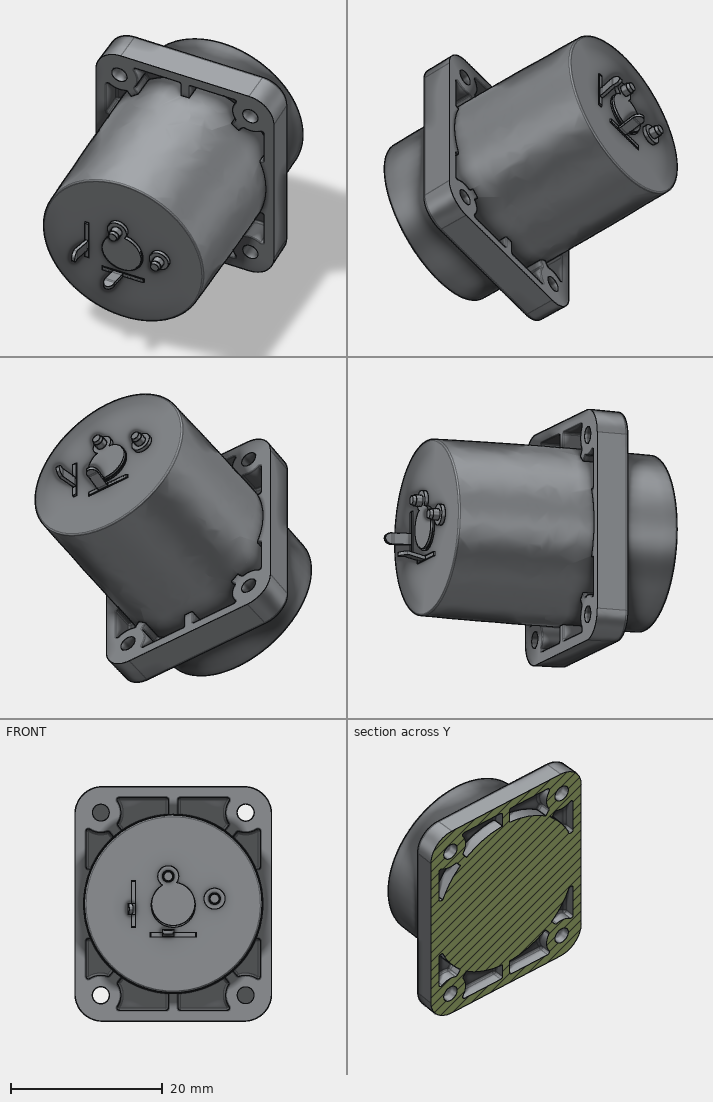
import cadquery as cq
import math


FLANGE_WIDTH = 25.9
FLANGE_HEIGHT = 30.9
FLANGE_THICKNESS = 4.5
FLANGE_CORNER = 3.65
FLANGE_DRAFT = 1.3
FLANGE_REAR_ROUND = 0.4

OVERALL_LENGTH = 34.65
REAR_LENGTH = 11.88
FRONT_LENGTH = 19.05
BODY_END_RADIUS = 11.67
BODY_MIDDLE_RADIUS = 11.8
BODY_EDGE_ROUND = 0.2
BODY_ROOT_FILLET = 0.35

HOLE_X = 9.53
HOLE_Z = 12.02
HOLE_DIAMETER = 2.2
BLIND_HOLE_DEPTH = 3.45

POCKET_DEPTH = 3.2
POCKET_HALF_WIDTH = 11.45
POCKET_HALF_HEIGHT = 14.0
POCKET_INNER_RADIUS = 11.57
POCKET_LOWEST_Z = 4.57
POCKET_ROUND = 0.3
POCKET_LIP = 0.12
CENTRE_RIB = 1.25
RADIAL_RIB = 1.4
HOLE_BOSS_RADIUS = 2.63

DISC_RADIUS = 2.85
DISC_HEIGHT = 0.52
DISC_BASE_RADIUS = 2.9
DISC_BASE_HEIGHT = 0.2
DISC_BASE_DROP = 0.17

PIN_CENTRES = [(-0.65, 3.65), (5.45, 0.7)]
COLLAR_RADIUS = 1.4
COLLAR_HEIGHT = 0.52
PIN_RADIUS = 0.75
PIN_SHOULDER = 1.42
TIP_BASE_RADIUS = 0.7
TIP_END_RADIUS = 0.6
PIN_HEIGHT = 1.87

TERMINAL_PLACES = [((0, -4.05), 0), ((-5.23, 0), 90)]
STRIP_LENGTH = 6.15
STRIP_WIDTH = 0.55
STRIP_HEIGHT = 0.17
STRIP_END_CHAMFER = 0.15
LUG_OFFSET = -0.675
LUG_WIDTH = 1.5
LUG_THICKNESS = 0.5
LUG_ROOT_HEIGHT = 0.52
LUG_BEND_HEIGHT = 2.5
LUG_TIP_START = 2.75
LUG_BEND_SHIFT = 0.45
LUG_END_SHIFT = 0.3
LUG_HEIGHT = OVERALL_LENGTH - REAR_LENGTH - FRONT_LENGTH


def make_flange():
    flange = (
        cq.Workplane("ZX")
        .sketch()
        .rect(FLANGE_HEIGHT, FLANGE_WIDTH)
        .vertices()
        .fillet(FLANGE_CORNER)
        .finalize()
        .extrude(FLANGE_THICKNESS, taper=FLANGE_DRAFT)
    )
    return flange.faces(">Y").edges().fillet(FLANGE_REAR_ROUND)


def make_body():
    """Slightly barrel-shaped body, turned about Y."""
    middle = (REAR_LENGTH - FRONT_LENGTH) / 2
    profile = (
        cq.Workplane("YZ")
        .moveTo(-FRONT_LENGTH, 0)
        .lineTo(-FRONT_LENGTH, BODY_END_RADIUS)
        .threePointArc((middle, BODY_MIDDLE_RADIUS), (REAR_LENGTH, BODY_END_RADIUS))
        .lineTo(REAR_LENGTH, 0)
        .close()
    )
    body = profile.revolve(360, (0, 0), (1, 0))
    return body.faces("<Y or >Y").edges().fillet(BODY_EDGE_ROUND)


def fillet_body_root(part):
    """Fillet the circle where the body leaves the rear face of the flange."""
    root_circle = cq.selectors.NearestToPointSelector((0, FLANGE_THICKNESS, 0))
    return part.edges(root_circle).fillet(BODY_ROOT_FILLET)


def make_pocket_pair():
    """Solids for the two pockets beside the +X +Z hole, reaching back from the front face."""

    def block(height, width, centered=True):
        return cq.Workplane("ZX").rect(height, width, centered=centered).extrude(POCKET_DEPTH)

    def disc(radius):
        return cq.Workplane("ZX").circle(radius).extrude(POCKET_DEPTH)

    rib_angle = math.degrees(math.atan2(HOLE_X, HOLE_Z))
    kept_solid = [
        block(2 * POCKET_LOWEST_Z, FLANGE_WIDTH),
        block(FLANGE_HEIGHT, CENTRE_RIB),
        block(FLANGE_HEIGHT, RADIAL_RIB).rotate((0, 0, 0), (0, 1, 0), rib_angle),
        disc(HOLE_BOSS_RADIUS).translate((HOLE_X, 0, HOLE_Z)),
        block(HOLE_BOSS_RADIUS, HOLE_BOSS_RADIUS, False).translate((HOLE_X, 0, HOLE_Z)),
        disc(POCKET_INNER_RADIUS),
    ]
    pair = block(POCKET_HALF_HEIGHT, POCKET_HALF_WIDTH, False)
    for kept in kept_solid:
        pair = pair.cut(kept)
    return pair.edges("|Y or >Y").fillet(POCKET_ROUND)


def cut_pockets(flange):
    right_pockets = make_pocket_pair()
    right_pockets = right_pockets.add(right_pockets.mirror("XY"))
    for pocket in right_pockets.vals():
        flange = flange.cut(cq.Workplane(pocket)).cut(cq.Workplane(pocket.mirror("YZ")))
    mouths = flange.faces("<Y").val().innerWires()
    mouth_edges = [edge for mouth in mouths for edge in mouth.Edges()]
    return flange.newObject(mouth_edges).fillet(POCKET_LIP)


def cut_holes(part):
    def holes(depth, places):
        return cq.Workplane("ZX").pushPoints(places).circle(HOLE_DIAMETER / 2).extrude(depth)

    through = holes(FLANGE_THICKNESS, [(HOLE_Z, HOLE_X), (-HOLE_Z, -HOLE_X)])
    blind = holes(BLIND_HOLE_DEPTH, [(HOLE_Z, -HOLE_X), (-HOLE_Z, HOLE_X)])
    return part.cut(through).cut(blind)


def end_face(x=0, z=0):
    """Workplane on the front end of the body, with its normal pointing forward (-Y)."""
    return cq.Workplane("XZ", origin=(x, -FRONT_LENGTH, z))


def make_centre_disc():
    base = end_face(0, -DISC_BASE_DROP).circle(DISC_BASE_RADIUS).extrude(DISC_BASE_HEIGHT)
    return base.union(end_face().circle(DISC_RADIUS).extrude(DISC_HEIGHT))


def make_pin(x, z):
    collar = end_face(x, z).circle(COLLAR_RADIUS).extrude(COLLAR_HEIGHT)
    shank = end_face(x, z).circle(PIN_RADIUS).extrude(PIN_SHOULDER)
    tip = cq.Solid.makeCone(
        TIP_BASE_RADIUS,
        TIP_END_RADIUS,
        PIN_HEIGHT - PIN_SHOULDER,
        pnt=cq.Vector(x, -FRONT_LENGTH - PIN_SHOULDER, z),
        dir=cq.Vector(0, -1, 0),
    )
    return collar.union(shank).union(cq.Workplane(tip))


def make_terminal(place, angle):
    """Strip along X with a lug bent towards +Z, turned by angle and moved to place."""
    strip = cq.Workplane("XZ").rect(STRIP_LENGTH, STRIP_WIDTH).extrude(STRIP_HEIGHT)
    strip = strip.faces("<Y").edges("|Z").chamfer(STRIP_END_CHAMFER)

    stations = [
        (0, 0),
        (LUG_ROOT_HEIGHT, 0),
        (LUG_BEND_HEIGHT, LUG_BEND_SHIFT),
        (LUG_TIP_START, LUG_BEND_SHIFT),
        (LUG_HEIGHT, LUG_END_SHIFT),
    ]
    half_thickness = LUG_THICKNESS / 2
    lower_side = [(-height, shift - half_thickness) for height, shift in stations]
    upper_side = [(-height, shift + half_thickness) for height, shift in stations]
    bent_bar = (
        cq.Workplane("YZ")
        .polyline(lower_side + upper_side[::-1])
        .close()
        .extrude(LUG_WIDTH / 2, both=True)
    )

    straight = cq.Workplane("XY").center(0, -LUG_TIP_START / 2).rect(LUG_WIDTH, LUG_TIP_START)
    tip = cq.Workplane("XY").center(0, -LUG_TIP_START)
    tip = tip.ellipse(LUG_WIDTH / 2, LUG_HEIGHT - LUG_TIP_START)
    outline = straight.extrude(LUG_WIDTH, both=True).union(tip.extrude(LUG_WIDTH, both=True))
    lug = bent_bar.intersect(outline).translate((LUG_OFFSET, 0, 0))

    x, z = place
    turned = strip.union(lug).rotate((0, 0, 0), (0, -1, 0), angle)
    return turned.translate((x, -FRONT_LENGTH, z))


result = cut_pockets(make_flange()).union(make_body())
result = cut_holes(fillet_body_root(result))
result = result.union(make_centre_disc())
for pin_x, pin_z in PIN_CENTRES:
    result = result.union(make_pin(pin_x, pin_z))
for strip_centre, strip_angle in TERMINAL_PLACES:
    result = result.union(make_terminal(strip_centre, strip_angle))